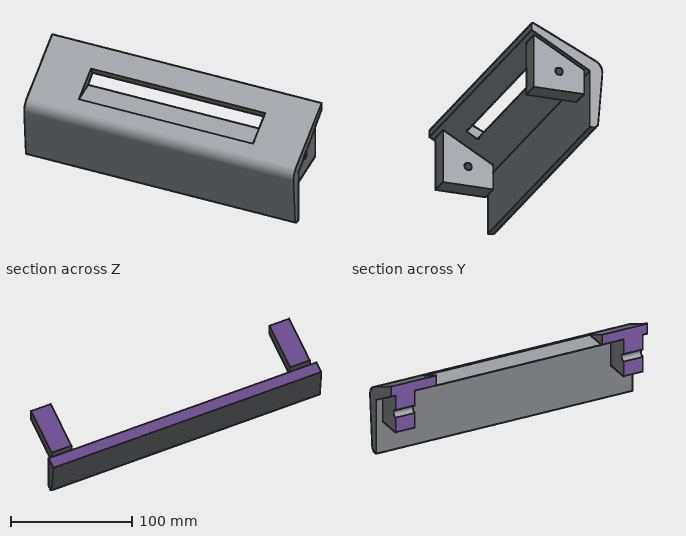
import cadquery as cq
import math

length = 239.5
depth = 62.3
height = 85.8
front_y = -depth / 2
back_y = depth / 2

back_edge_z = 79.0
crest_radius = 1.0
inner_corner_z = 50.0
apron_inner_y = -20.1
brow_radius = 10.8
toe_radius = 4.5
top_slope = math.radians(25.3)
apron_lean = math.radians(4.6)

window_length = 154.7
window_low_y = -15.5
window_high_y = 11.0

tab_inset = 4.3
tab_thickness = 18.0
tab_front_y = -16.5
tab_back_y = 27.5
tab_bottom_z = 30.5
hole_diameter = 6.5
hole_y = (tab_front_y + tab_back_y) / 2
hole_z = 47.7


def top_z(y):
    """Height of the sloping outer face at a given Y; the rounded crest just reaches the full height."""
    crest_centre_y = back_y - crest_radius
    crest_centre_z = height - crest_radius
    return crest_centre_z + crest_radius / math.cos(top_slope) + (y - crest_centre_y) * math.tan(top_slope)


def underside_z(y):
    """Height of the sloping inner face at a given Y."""
    slope = (back_edge_z - inner_corner_z) / (back_y - apron_inner_y)
    return inner_corner_z + (y - apron_inner_y) * slope


def extrude_along_x(points, x_start, x_length):
    """Extrude a closed YZ outline towards +X."""
    outline = cq.Workplane("YZ").workplane(offset=x_start).polyline(points).close()
    return outline.extrude(x_length)


def make_hood():
    brow_centre_y = front_y + brow_radius
    brow_centre_z = top_z(brow_centre_y) - brow_radius / math.cos(top_slope)
    toe_y = brow_centre_y - brow_radius / math.cos(apron_lean) + brow_centre_z * math.tan(apron_lean)

    corner_y = (toe_y * math.cos(apron_lean) - top_z(0) * math.sin(apron_lean)) / (
        math.cos(apron_lean) + math.tan(top_slope) * math.sin(apron_lean)
    )
    crest = (back_y, top_z(back_y))
    brow = (corner_y, top_z(corner_y))
    toe = (toe_y, 0)
    hood = extrude_along_x(
        [
            (back_y, back_edge_z),
            crest,
            brow,
            toe,
            (apron_inner_y, 0),
            (apron_inner_y, inner_corner_z),
        ],
        -length / 2,
        length,
    )
    for corner, radius in ((crest, crest_radius), (brow, brow_radius), (toe, toe_radius)):
        edge = cq.selectors.NearestToPointSelector((0, *corner))
        hood = hood.edges(edge).fillet(radius)
    return hood


def make_window():
    low_z = top_z(window_low_y)
    high_z = top_z(window_high_y)
    reach = depth / 2
    across_y = reach * math.sin(top_slope)
    across_z = reach * math.cos(top_slope)
    return extrude_along_x(
        [
            (window_low_y, low_z),
            (window_low_y - across_y, low_z + across_z),
            (window_high_y - across_y, high_z + across_z),
            (window_high_y, high_z),
            (window_high_y + (high_z - low_z) * math.tan(top_slope), low_z),
        ],
        -window_length / 2,
        window_length,
    )


def make_tab(x_start):
    tab = extrude_along_x(
        [
            (tab_front_y, tab_bottom_z),
            (tab_back_y, tab_bottom_z),
            (tab_back_y, underside_z(tab_back_y)),
            (tab_front_y, underside_z(tab_front_y)),
        ],
        x_start,
        tab_thickness,
    )
    hole = (
        cq.Workplane("YZ")
        .workplane(offset=x_start)
        .center(hole_y, hole_z)
        .circle(hole_diameter / 2)
        .extrude(tab_thickness)
    )
    return tab.cut(hole)


result = make_hood().cut(make_window())
tab_outer_x = length / 2 - tab_inset
for tab_start in (-tab_outer_x, tab_outer_x - tab_thickness):
    result = result.union(make_tab(tab_start))